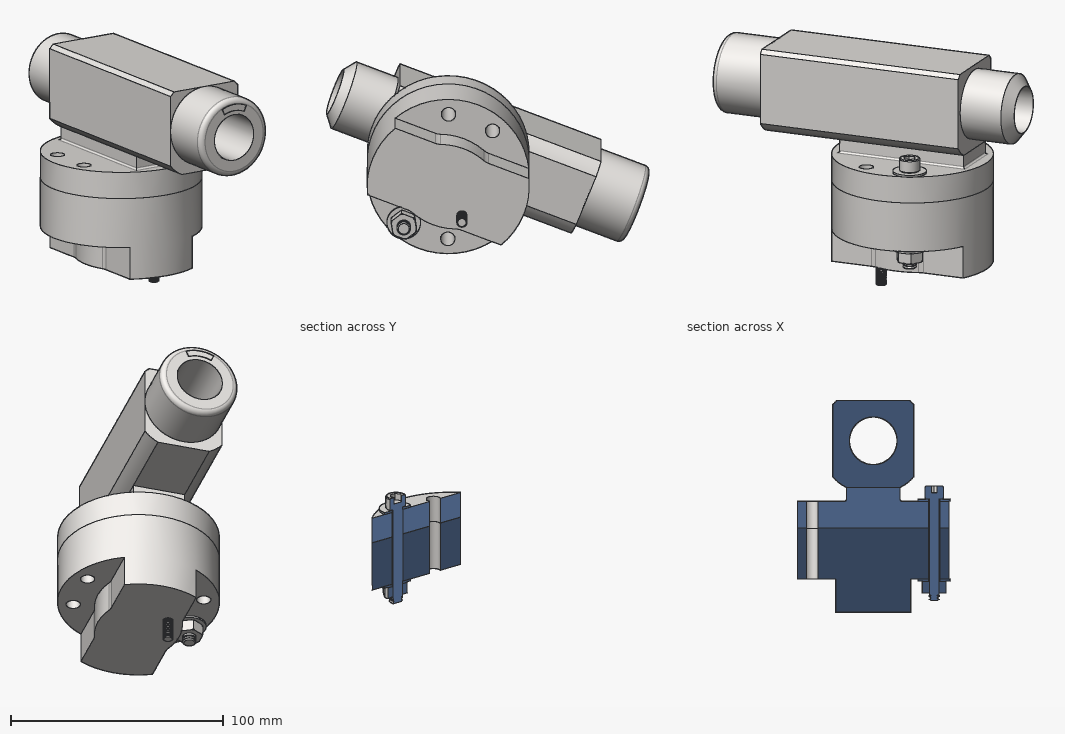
import cadquery as cq
import math


FLANGE_RADIUS = 38.1
FLANGE_THICKNESS = 12.8
NECK_LENGTH = 63.7
NECK_WIDTH = 25.3
NECK_FILLET = 0.9

BLOCK_LEFT = -NECK_LENGTH / 2
BLOCK_RIGHT = 69.8
BLOCK_WIDTH = 38.1
BLOCK_TOP = 60.2
BLOCK_BOTTOM = 19.2
BLOCK_TOP_CHAMFER = 2.0
SHOULDER_HEIGHT = 5.0
SHOULDER_BULGE = 0.5

BORE_RADIUS = 11.1
BORE_AXIS_Z = BLOCK_TOP - BLOCK_WIDTH / 2
TOTAL_LENGTH = 152.4
LEFT_END = -57.2
LEFT_TUBE_RADIUS = 16.8
LEFT_CONE_LENGTH = 4.4
LEFT_RIM = 0.2
RIGHT_END = LEFT_END + TOTAL_LENGTH
RIGHT_TUBE_RADIUS = BLOCK_WIDTH / 2
RIGHT_EDGE_FILLET = 2.6
PAD_THICKNESS = 0.3
PAD_INNER_RADIUS = 13.1
PAD_OUTER_RADIUS = 16.2
PAD_HALF_ANGLE = 25.0

BASE_HEIGHT = 39.5
BASE_RIM_HEIGHT = 24.0
WEB_HALF_WIDTH = 17.7
BULGE_REACH = 20.1
BULGE_RADIUS = 31.2
BULGE_FILLET = 6.7

BOLT_X = 11.1
BOLT_Y = 28.7
BOLT_HOLE_RADIUS = 3.4
BOLT_RADIUS = 3.2
BOLT_ROOT_RADIUS = 2.6
BOLT_PITCH = 1.2
BOLT_END = -34.0
BOLT_HEAD_RADIUS = 4.9
BOLT_HEAD_HEIGHT = 6.2
BOLT_HEAD_CHAMFER = 0.5
SOCKET_FLATS = 4.9
SOCKET_DEPTH = 3.2
WASHER_RADIUS = 8.0
WASHER_THICKNESS = 0.9
NUT_FLATS = 11.3
NUT_HEIGHT = 5.6
NUT_CHAMFER = 0.5

STUD_X = 11.3
STUD_Y = 11.0
STUD_RADIUS = 2.5
STUD_ROOT_RADIUS = 2.0
STUD_PITCH = 0.8
STUD_LENGTH = 10.5
STUD_DEPTH = 9.1


def cylinder(radius, bottom, top, x=0.0, y=0.0):
    """Upright cylinder between two heights."""
    return cq.Workplane("XY", origin=(x, y, bottom)).circle(radius).extrude(top - bottom)


def hexagon(flats, bottom, top, x=0.0, y=0.0):
    """Upright hexagonal prism with two corners on its X direction."""
    corners = flats / math.cos(math.pi / 6)
    return cq.Workplane("XY", origin=(x, y, bottom)).polygon(6, corners).extrude(top - bottom)


def tube(outer_radius, left, right):
    """Bored tube along X on the bore axis."""
    return (
        cq.Workplane("YZ", origin=(left, 0, BORE_AXIS_Z))
        .circle(outer_radius)
        .circle(BORE_RADIUS)
        .extrude(right - left)
    )


def threaded_rod(radius, root_radius, pitch, plain_top, thread_top, bottom, x, y):
    """Rod with V-shaped thread grooves from its bottom end up to thread_top."""
    turns = int((thread_top - bottom) / pitch)
    profile = cq.Workplane("XZ", origin=(x, y, 0)).moveTo(0, bottom).lineTo(root_radius, bottom)
    for turn in range(turns):
        root = bottom + turn * pitch
        profile = profile.lineTo(radius, root + pitch / 2).lineTo(root_radius, root + pitch)
    profile = profile.lineTo(radius, bottom + turns * pitch).lineTo(radius, plain_top).lineTo(0, plain_top)
    return profile.close().revolve(360, (0, 0, 0), (0, 1, 0))


def make_bolt_holes():
    return (
        cq.Workplane("XY", origin=(0, 0, -BASE_HEIGHT))
        .rect(2 * BOLT_X, 2 * BOLT_Y, forConstruction=True)
        .vertices()
        .circle(BOLT_HOLE_RADIUS)
        .extrude(BASE_HEIGHT + FLANGE_THICKNESS)
    )


def make_flange():
    disc = cylinder(FLANGE_RADIUS, 0, FLANGE_THICKNESS)
    neck = (
        cq.Workplane("XY", origin=(0, 0, FLANGE_THICKNESS))
        .rect(NECK_LENGTH, NECK_WIDTH)
        .extrude(BLOCK_BOTTOM - FLANGE_THICKNESS)
    )
    foot_edges = cq.selectors.BoxSelector(
        (-NECK_LENGTH, -NECK_WIDTH, FLANGE_THICKNESS - NECK_FILLET),
        (NECK_LENGTH, NECK_WIDTH, FLANGE_THICKNESS + NECK_FILLET),
    )
    flange = disc.union(neck).edges("|X or |Y").edges(foot_edges).fillet(NECK_FILLET)
    return flange.cut(make_bolt_holes())


def make_bar():
    """Square bar with bevelled top corners and rounded lower shoulders."""
    half = BLOCK_WIDTH / 2
    neck_half = NECK_WIDTH / 2
    shoulder_top = BLOCK_BOTTOM + SHOULDER_HEIGHT
    chord_y = half - neck_half
    chord = math.hypot(chord_y, SHOULDER_HEIGHT)
    middle_y = (half + neck_half) / 2 + SHOULDER_BULGE * SHOULDER_HEIGHT / chord
    middle_z = (BLOCK_BOTTOM + shoulder_top) / 2 - SHOULDER_BULGE * chord_y / chord
    return (
        cq.Workplane("YZ", origin=(BLOCK_LEFT, 0, 0))
        .moveTo(-neck_half, BLOCK_BOTTOM)
        .lineTo(neck_half, BLOCK_BOTTOM)
        .threePointArc((middle_y, middle_z), (half, shoulder_top))
        .lineTo(half, BLOCK_TOP - BLOCK_TOP_CHAMFER)
        .lineTo(half - BLOCK_TOP_CHAMFER, BLOCK_TOP)
        .lineTo(-half + BLOCK_TOP_CHAMFER, BLOCK_TOP)
        .lineTo(-half, BLOCK_TOP - BLOCK_TOP_CHAMFER)
        .lineTo(-half, shoulder_top)
        .threePointArc((-middle_y, middle_z), (-neck_half, BLOCK_BOTTOM))
        .close()
        .extrude(BLOCK_RIGHT - BLOCK_LEFT)
    )


def make_left_tube():
    cone_height = LEFT_TUBE_RADIUS - BORE_RADIUS - LEFT_RIM
    pipe = tube(LEFT_TUBE_RADIUS, LEFT_END, BLOCK_LEFT)
    outer_edge = cq.selectors.RadiusNthSelector(-1)
    return pipe.faces("<X").edges(outer_edge).chamfer(LEFT_CONE_LENGTH, cone_height)


def make_right_tube():
    face_x = RIGHT_END - PAD_THICKNESS
    outer_edge = cq.selectors.RadiusNthSelector(-1)
    pipe = tube(RIGHT_TUBE_RADIUS, BLOCK_RIGHT, face_x).faces(">X").edges(outer_edge).fillet(RIGHT_EDGE_FILLET)
    return pipe.union(make_pad(face_x))


def make_pad(face_x):
    """Thin raised arc on the end face of the right tube, above the bore."""
    angle = math.radians(PAD_HALF_ANGLE)
    inner_y = PAD_INNER_RADIUS * math.sin(angle)
    inner_z = PAD_INNER_RADIUS * math.cos(angle)
    outer_y = PAD_OUTER_RADIUS * math.sin(angle)
    outer_z = PAD_OUTER_RADIUS * math.cos(angle)
    return (
        cq.Workplane("YZ", origin=(face_x, 0, BORE_AXIS_Z))
        .moveTo(-inner_y, inner_z)
        .threePointArc((0, PAD_INNER_RADIUS), (inner_y, inner_z))
        .lineTo(outer_y, outer_z)
        .threePointArc((0, PAD_OUTER_RADIUS), (-outer_y, outer_z))
        .close()
        .extrude(PAD_THICKNESS)
    )


def make_block():
    bore = (
        cq.Workplane("YZ", origin=(BLOCK_LEFT, 0, BORE_AXIS_Z))
        .circle(BORE_RADIUS)
        .extrude(BLOCK_RIGHT - BLOCK_LEFT)
    )
    return make_bar().cut(bore).union(make_left_tube()).union(make_right_tube())


def make_base():
    rim = cylinder(FLANGE_RADIUS, -BASE_RIM_HEIGHT, 0)
    web = (
        cq.Workplane("XY", origin=(0, 0, -BASE_HEIGHT))
        .rect(2 * FLANGE_RADIUS, 2 * WEB_HALF_WIDTH)
        .extrude(BASE_HEIGHT - BASE_RIM_HEIGHT)
        .intersect(cylinder(FLANGE_RADIUS, -BASE_HEIGHT, -BASE_RIM_HEIGHT))
    )
    base = rim.union(web)
    for side in (-1, 1):
        base = base.union(make_bulge(side))
    stud_hole = cylinder(STUD_RADIUS, -BASE_HEIGHT, STUD_DEPTH - BASE_HEIGHT, STUD_X, STUD_Y)
    return base.cut(make_bolt_holes()).cut(stud_hole)


def make_bulge(side):
    """Shallow round bulge on one flat of the web, blended into the flat by concave fillets."""
    arc_centre = BULGE_REACH - BULGE_RADIUS
    fillet_centre = WEB_HALF_WIDTH + BULGE_FILLET
    centre_distance = BULGE_RADIUS + BULGE_FILLET
    half_angle = math.acos((fillet_centre - arc_centre) / centre_distance)
    foot_x = centre_distance * math.sin(half_angle)
    blend_x = BULGE_RADIUS * math.sin(half_angle)
    blend_y = arc_centre + BULGE_RADIUS * math.cos(half_angle)
    middle_x = foot_x - BULGE_FILLET * math.sin(half_angle / 2)
    middle_y = fillet_centre - BULGE_FILLET * math.cos(half_angle / 2)
    return (
        cq.Workplane("XY", origin=(0, 0, -BASE_HEIGHT))
        .moveTo(-foot_x, 0)
        .lineTo(-foot_x, side * WEB_HALF_WIDTH)
        .threePointArc((-middle_x, side * middle_y), (-blend_x, side * blend_y))
        .threePointArc((0, side * BULGE_REACH), (blend_x, side * blend_y))
        .threePointArc((middle_x, side * middle_y), (foot_x, side * WEB_HALF_WIDTH))
        .lineTo(foot_x, 0)
        .close()
        .extrude(BASE_HEIGHT - BASE_RIM_HEIGHT)
    )


def make_washer(bottom):
    return cylinder(WASHER_RADIUS, bottom, bottom + WASHER_THICKNESS, -BOLT_X, BOLT_Y).cut(
        cylinder(BOLT_HOLE_RADIUS, bottom, bottom + WASHER_THICKNESS, -BOLT_X, BOLT_Y)
    )


def make_bolt():
    seat = FLANGE_THICKNESS + WASHER_THICKNESS
    top = seat + BOLT_HEAD_HEIGHT
    nut_bottom = -BASE_RIM_HEIGHT - WASHER_THICKNESS - NUT_HEIGHT
    head = cylinder(BOLT_HEAD_RADIUS, seat, top, -BOLT_X, BOLT_Y).edges().chamfer(BOLT_HEAD_CHAMFER)
    socket = hexagon(SOCKET_FLATS, top - SOCKET_DEPTH, top, -BOLT_X, BOLT_Y)
    shank = threaded_rod(
        BOLT_RADIUS, BOLT_ROOT_RADIUS, BOLT_PITCH, seat, nut_bottom, BOLT_END, -BOLT_X, BOLT_Y
    )
    return head.cut(socket).union(shank)


def make_nut():
    top = -BASE_RIM_HEIGHT - WASHER_THICKNESS
    bottom = top - NUT_HEIGHT
    corner_radius = NUT_FLATS / 2 / math.cos(math.pi / 6)
    rounding = cylinder(corner_radius, bottom, top, -BOLT_X, BOLT_Y).edges().chamfer(NUT_CHAMFER)
    nut = hexagon(NUT_FLATS, bottom, top, -BOLT_X, BOLT_Y).intersect(rounding)
    return nut.cut(cylinder(BOLT_RADIUS, bottom, top, -BOLT_X, BOLT_Y))


def make_stud():
    return threaded_rod(
        STUD_RADIUS,
        STUD_ROOT_RADIUS,
        STUD_PITCH,
        STUD_DEPTH - BASE_HEIGHT,
        -BASE_HEIGHT,
        -BASE_HEIGHT - STUD_LENGTH,
        STUD_X,
        STUD_Y,
    )


flange = make_flange()
block = make_block()
base = make_base()
bolt = make_bolt()
nut = make_nut()
stud = make_stud()
washers = [make_washer(bottom).val() for bottom in (FLANGE_THICKNESS, -BASE_RIM_HEIGHT - WASHER_THICKNESS)]

result = cq.Compound.makeCompound(
    [
        flange.val(),
        block.val(),
        base.val(),
        bolt.val(),
        nut.val(),
        stud.val(),
        *washers,
    ]
)